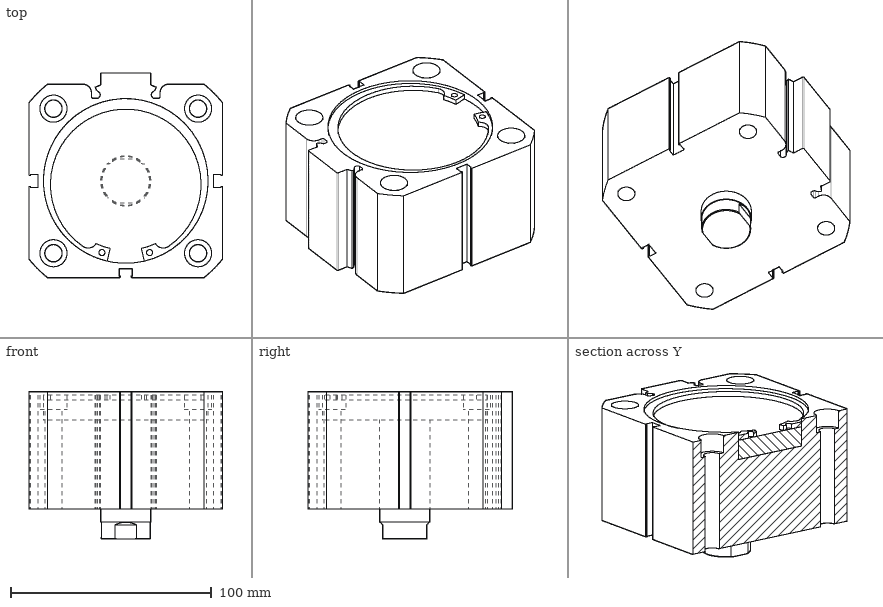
import cadquery as cq
import math


body_width = 96.5
body_height = 58.5
corner_radius = 62.0
half_width = body_width / 2

hole_pitch = 72.0
hole_diameter = 8.5
counterbore_diameter = 13.5
counterbore_depth = 9.0

slot_width = 6.4
slot_mouth_width = 5.4
slot_mouth_chamfer = 0.3
slot_lip = 0.9
slot_depth = 4.5

rail_width = 25.0
rail_top = 53.75
rail_edge_radius = 0.5
rail_foot = 47.85
lip_tip = (15.2, 46.65)
lip_under = (14.75, 45.4)
pocket_entry = (13.0, 43.75)
pocket_inner_bulge = (12.95, 42.15)
channel_floor = 41.2
pocket_floor_start = 13.95
channel_wall = 17.0
floor_corner_radius = 0.8
mouth_radius = 4.5

bore_diameter = 82.0
ring_recess = 1.6
ring_thickness = 2.5
ring_inner_radius = 37.5
ring_inner_offset = 1.75
lug_inner_radius = 34.5
lug_end_angle = 13.0
lug_back_angle = 25.3
lug_hole_angle = 18.4
lug_hole_radius = 37.6
lug_hole_diameter = 3.0
relief_radius = 4.4
relief_angle = 34.6
cover_thickness = 10.0

rod_diameter = 25.0
rod_extension = 15.0
rod_collar_length = 6.5
rod_end_diameter = 24.4
rod_edge_chamfer = 0.4
flat_spacing = 22.0
flat_start = 7.8

ring_top = body_height - ring_recess
ring_bottom = ring_top - ring_thickness
cover_bottom = ring_bottom - cover_thickness


def polar_from_minus_y(radius, angle, center_y=0.0):
    """Point at a radius and an angle measured from -Y toward +X."""
    turn = math.radians(angle)
    return (radius * math.sin(turn), center_y - radius * math.cos(turn))


def mirror_x(point):
    return (-point[0], point[1])


def sensor_slot():
    """Undercut slot with a chamfered mouth along the -Y face."""
    half_slot = slot_width / 2
    half_mouth = slot_mouth_width / 2
    half_entry = half_mouth + slot_mouth_chamfer
    lip_level = slot_lip - half_width
    return (
        cq.Workplane("XY")
        .moveTo(-half_entry, -half_width)
        .lineTo(half_entry, -half_width)
        .lineTo(half_mouth, slot_mouth_chamfer - half_width)
        .lineTo(half_mouth, lip_level)
        .lineTo(half_slot, lip_level)
        .lineTo(half_slot, slot_depth - half_width)
        .lineTo(-half_slot, slot_depth - half_width)
        .lineTo(-half_slot, lip_level)
        .lineTo(-half_mouth, lip_level)
        .lineTo(-half_mouth, slot_mouth_chamfer - half_width)
        .close()
        .extrude(body_height)
    )


def rail_channel():
    """Undercut channel on the +X side of the rail."""
    mouth_level = half_width - mouth_radius
    mouth_bulge = mouth_radius * (1 - math.cos(math.radians(45)))
    corner_bulge = floor_corner_radius * (1 - math.cos(math.radians(45)))
    return (
        cq.Workplane("XY")
        .moveTo(rail_width / 2, half_width)
        .lineTo(rail_width / 2, rail_foot)
        .lineTo(*lip_tip)
        .lineTo(*lip_under)
        .lineTo(*pocket_entry)
        .threePointArc(pocket_inner_bulge, (pocket_floor_start, channel_floor))
        .lineTo(channel_wall - floor_corner_radius, channel_floor)
        .threePointArc(
            (channel_wall - corner_bulge, channel_floor + corner_bulge),
            (channel_wall, channel_floor + floor_corner_radius),
        )
        .lineTo(channel_wall, mouth_level)
        .threePointArc(
            (channel_wall + mouth_bulge, half_width - mouth_bulge),
            (channel_wall + mouth_radius, half_width),
        )
        .close()
        .extrude(body_height)
    )


def rail_block():
    """Raised part of the rail, standing on the +Y face."""
    rise = rail_top - rail_foot
    return (
        cq.Workplane("XY")
        .center(0, rail_foot + rise / 2)
        .rect(rail_width, rise)
        .extrude(body_height)
        .edges("|Z and >Y")
        .fillet(rail_edge_radius)
    )


def make_housing():
    body = cq.Workplane("XY").rect(body_width, body_width).extrude(body_height)
    body = body.intersect(cq.Workplane("XY").circle(corner_radius).extrude(body_height))

    for angle in (0, 90, -90):
        body = body.cut(sensor_slot().rotate((0, 0, 0), (0, 0, 1), angle))

    channel = rail_channel()
    body = body.cut(channel).cut(channel.mirror("YZ")).union(rail_block())

    body = (
        body.faces(">Z")
        .workplane(origin=(0, 0, body_height))
        .rect(hole_pitch, hole_pitch, forConstruction=True)
        .vertices()
        .cboreHole(hole_diameter, counterbore_diameter, counterbore_depth)
    )

    bore = (
        cq.Workplane("XY", origin=(0, 0, cover_bottom))
        .circle(bore_diameter / 2)
        .extrude(body_height - cover_bottom)
    )
    rod_hole = cq.Workplane("XY").circle(rod_diameter / 2).extrude(cover_bottom)
    return body.cut(bore).cut(rod_hole)


def make_end_cover():
    """Disc that closes the bore below the retaining ring."""
    return (
        cq.Workplane("XY", origin=(0, 0, cover_bottom))
        .circle(bore_diameter / 2)
        .extrude(cover_thickness)
    )


def make_retaining_ring():
    """Open ring with a drilled lug at each end of its gap."""
    bore_radius = bore_diameter / 2
    outer_end = polar_from_minus_y(bore_radius, lug_end_angle)
    lug_corner = polar_from_minus_y(lug_inner_radius, lug_end_angle)
    lug_middle = polar_from_minus_y(lug_inner_radius, (lug_end_angle + lug_back_angle) / 2)
    lug_back = polar_from_minus_y(lug_inner_radius, lug_back_angle)
    relief_end = polar_from_minus_y(ring_inner_radius, relief_angle, -ring_inner_offset)
    relief_center = polar_from_minus_y(
        ring_inner_radius - relief_radius, relief_angle, -ring_inner_offset
    )
    relief_bottom = (relief_center[0], relief_center[1] - relief_radius)

    ring = (
        cq.Workplane("XY", origin=(0, 0, ring_bottom))
        .moveTo(*outer_end)
        .threePointArc((0, bore_radius), mirror_x(outer_end))
        .lineTo(*mirror_x(lug_corner))
        .threePointArc(mirror_x(lug_middle), mirror_x(lug_back))
        .threePointArc(mirror_x(relief_bottom), mirror_x(relief_end))
        .threePointArc((0, ring_inner_radius - ring_inner_offset), relief_end)
        .threePointArc(relief_bottom, lug_back)
        .threePointArc(lug_middle, lug_corner)
        .close()
        .extrude(ring_thickness)
    )
    lug_hole = polar_from_minus_y(lug_hole_radius, lug_hole_angle)
    lug_holes = (
        cq.Workplane("XY", origin=(0, 0, ring_bottom))
        .pushPoints([lug_hole, mirror_x(lug_hole)])
        .circle(lug_hole_diameter / 2)
        .extrude(ring_thickness)
    )
    return ring.cut(lug_holes)


def make_rod():
    """Rod from the end cover to its tip, with two wrench flats on the reduced end."""
    rod = (
        cq.Workplane("XY", origin=(0, 0, cover_bottom))
        .circle(rod_diameter / 2)
        .extrude(-(cover_bottom + rod_collar_length))
    )
    rod_end = (
        cq.Workplane("XY", origin=(0, 0, -rod_collar_length))
        .circle(rod_end_diameter / 2)
        .extrude(rod_collar_length - rod_extension)
        .faces("<Z")
        .chamfer(rod_edge_chamfer)
    )

    flat_y = -flat_spacing / 2
    clear_y = -rod_diameter / 2
    run_out = flat_y - clear_y
    flat_cut = (
        cq.Workplane("YZ", origin=(-rod_diameter / 2, 0, 0))
        .moveTo(flat_y, -rod_extension)
        .lineTo(flat_y, -flat_start)
        .lineTo(clear_y, run_out - flat_start)
        .lineTo(clear_y, -rod_extension)
        .close()
        .extrude(rod_diameter)
    )
    return rod.union(rod_end.cut(flat_cut).cut(flat_cut.mirror("XZ")))


housing = make_housing()
end_cover = make_end_cover()
retaining_ring = make_retaining_ring()
rod = make_rod()

result = cq.Compound.makeCompound(
    [housing.val(), end_cover.val(), retaining_ring.val(), rod.val()]
)